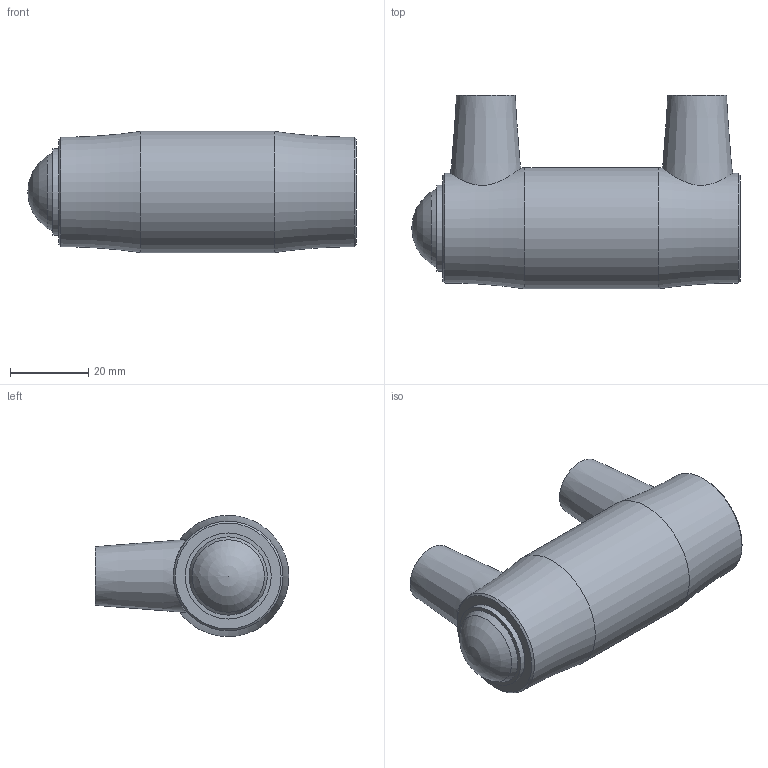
import cadquery as cq
import math

BODY_LENGTH = 76.0
BODY_DIAMETER = 31.0
BODY_END_DIAMETER = 28.0
CYLINDER_LENGTH = 34.0
END_CHAMFER = 0.5

COLLAR_DIAMETER = 22.0
COLLAR_LENGTH = 1.5
SEAT_BASE_DIAMETER = 20.0
SEAT_TOP_DIAMETER = 18.5
SEAT_LENGTH = 1.5
DOME_HEIGHT = 4.93

POST_SPACING = 54.0
POST_TIP_Y = 34.0
POST_TIP_DIAMETER = 15.0
POST_DRAFT_ANGLE = 4.5


def flare_mid_radius():
    """Radius halfway along an end flare: an arc running parallel to the axis at the body end."""
    end_radius = BODY_END_DIAMETER / 2
    rise = BODY_DIAMETER / 2 - end_radius
    run = (BODY_LENGTH - CYLINDER_LENGTH) / 2 - END_CHAMFER
    arc_radius = (run**2 + rise**2) / (2 * rise)
    return end_radius + arc_radius - math.sqrt(arc_radius**2 - (run / 2) ** 2)


def make_body():
    """Revolved barrel: a straight middle, with a concave flare and a chamfer at each end."""
    half_length = BODY_LENGTH / 2
    half_cylinder = CYLINDER_LENGTH / 2
    radius = BODY_DIAMETER / 2
    end_radius = BODY_END_DIAMETER / 2
    flare_end_x = half_length - END_CHAMFER
    flare_mid = ((half_cylinder + flare_end_x) / 2, flare_mid_radius())
    profile = (
        cq.Workplane("XY")
        .moveTo(-half_length, 0)
        .lineTo(-half_length, end_radius - END_CHAMFER)
        .lineTo(-flare_end_x, end_radius)
        .threePointArc((-flare_mid[0], flare_mid[1]), (-half_cylinder, radius))
        .lineTo(half_cylinder, radius)
        .threePointArc(flare_mid, (flare_end_x, end_radius))
        .lineTo(half_length, end_radius - END_CHAMFER)
        .lineTo(half_length, 0)
        .close()
    )
    return profile.revolve(360, (0, 0, 0), (1, 0, 0))


def make_nose():
    """Revolved collar, conical seat and dome standing on the -X end face."""
    collar_x = -BODY_LENGTH / 2 - COLLAR_LENGTH
    dome_base_x = collar_x - SEAT_LENGTH
    dome_tip_x = dome_base_x - DOME_HEIGHT
    dome_base_radius = SEAT_TOP_DIAMETER / 2
    sphere_radius = (dome_base_radius**2 + DOME_HEIGHT**2) / (2 * DOME_HEIGHT)
    mid_height = DOME_HEIGHT / 2
    mid_radius = math.sqrt(2 * sphere_radius * mid_height - mid_height**2)
    profile = (
        cq.Workplane("XY")
        .moveTo(-BODY_LENGTH / 2, 0)
        .lineTo(-BODY_LENGTH / 2, COLLAR_DIAMETER / 2)
        .lineTo(collar_x, COLLAR_DIAMETER / 2)
        .lineTo(collar_x, SEAT_BASE_DIAMETER / 2)
        .lineTo(dome_base_x, dome_base_radius)
        .threePointArc((dome_tip_x + mid_height, mid_radius), (dome_tip_x, 0))
        .close()
    )
    return profile.revolve(360, (0, 0, 0), (1, 0, 0))


def make_post(x):
    """Tapered round peg from the body axis out to its flat tip."""
    tip_radius = POST_TIP_DIAMETER / 2
    root_radius = tip_radius + POST_TIP_Y * math.tan(math.radians(POST_DRAFT_ANGLE))
    axis_start = cq.Vector(x, 0, 0)
    axis_direction = cq.Vector(0, 1, 0)
    cone = cq.Solid.makeCone(root_radius, tip_radius, POST_TIP_Y, axis_start, axis_direction)
    return cq.Workplane(cone)


result = make_body().union(make_nose())
for side in (-1, 1):
    result = result.union(make_post(side * POST_SPACING / 2))